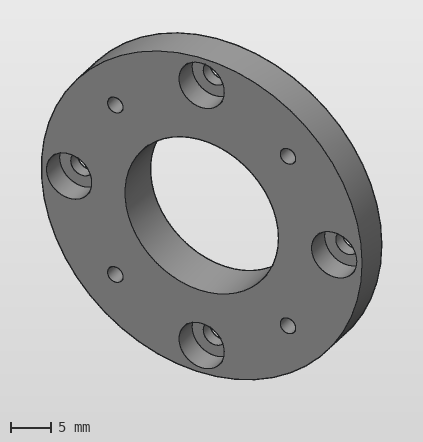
import cadquery as cq

flange_diameter = 45.95
flange_thickness = 5.0

boss_diameter = 29.95
boss_height = 1.45
total_depth = flange_thickness + boss_height

bore_diameter = 21.97

mount_circle_diameter = 37.95
mount_hole_diameter = 3.3
counterbore_diameter = 6.5
counterbore_depth = 3.3

small_circle_diameter = 35.0
small_hole_diameter = 2.2

holes_per_circle = 4
hole_spacing = 360 / holes_per_circle


def front_plane(depth):
    """Sketch plane facing -Y, the given depth behind the front face."""
    return cq.Workplane("XZ", origin=(0, depth, 0))


def disc(diameter, start, thickness):
    """Disc about the Y axis, running from start toward +Y."""
    return front_plane(start).circle(diameter / 2).extrude(-thickness)


def hole_ring(circle_diameter, hole_diameter, depth, first_angle):
    """Cylinders to cut from the front face, evenly spaced on a circle."""
    return (
        front_plane(0)
        .polarArray(circle_diameter / 2, first_angle, 360, holes_per_circle)
        .circle(hole_diameter / 2)
        .extrude(-depth)
    )


body = disc(flange_diameter, 0, flange_thickness)
body = body.union(disc(boss_diameter, flange_thickness, boss_height))
body = body.cut(disc(bore_diameter, 0, total_depth))

body = body.cut(hole_ring(mount_circle_diameter, mount_hole_diameter, flange_thickness, 0))
body = body.cut(hole_ring(mount_circle_diameter, counterbore_diameter, counterbore_depth, 0))

result = body.cut(
    hole_ring(small_circle_diameter, small_hole_diameter, flange_thickness, hole_spacing / 2)
)